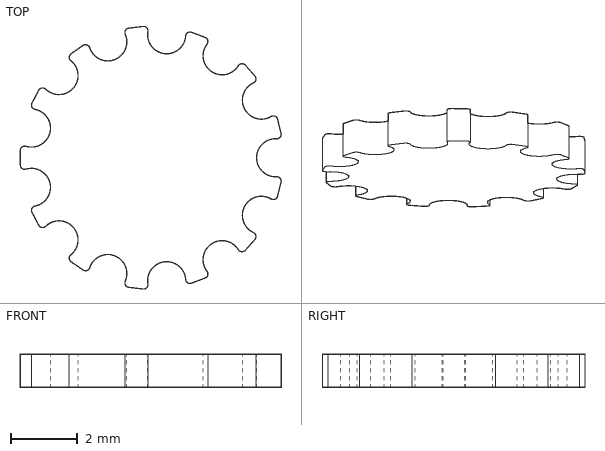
import cadquery as cq
import math

thickness = 1.0
tooth_count = 13
tip_distance = 3.945
notch_centre_radius = 3.72
notch_radius = 0.57
corner_radius = 0.135

blank_corner_radius = tip_distance / math.cos(math.pi / tooth_count)


def wheel_blank():
    """Regular polygon whose flats become the tooth tips; one flat faces -X."""
    return (
        cq.Workplane("XY")
        .polygon(tooth_count, 2 * blank_corner_radius)
        .extrude(thickness)
    )


def notches():
    """Round cutters between the teeth; the first lies on +X, so a tooth points along -X."""
    return (
        cq.Workplane("XY")
        .polarArray(notch_centre_radius, 0, 360, tooth_count)
        .circle(notch_radius)
        .extrude(thickness)
    )


toothed_wheel = wheel_blank().cut(notches())

result = toothed_wheel.edges("|Z").fillet(corner_radius)